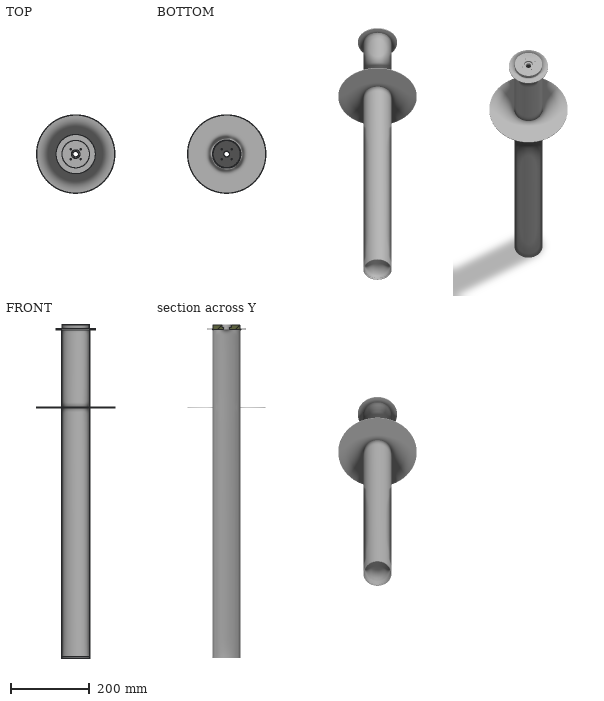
import cadquery as cq

TOTAL_HEIGHT = 850.0

TUBE_DIAMETER = 72.0
TUBE_BORE = 69.0

GROOVE_DIAMETER = 70.0
GROOVE_BOTTOM = 1.0
GROOVE_WIDTH = 4.0

CAP_DIAMETER = 70.0
CAP_RISE = 10.0

COLLAR_DIAMETER = 100.0
COLLAR_THICKNESS = 3.0
COLLAR_TOP = TOTAL_HEIGHT - CAP_RISE
COLLAR_BOTTOM = COLLAR_TOP - COLLAR_THICKNESS

DISC_DIAMETER = 200.0
DISC_THICKNESS = 2.0
DISC_DROP = 210.0
DISC_TOP = TOTAL_HEIGHT - DISC_DROP

CENTRE_HOLE_DIAMETER = 14.0
COUNTERBORE_DIAMETER = 22.0
COUNTERBORE_DEPTH = 6.0
SCREW_HOLE_DIAMETER = 2.53
SCREW_HOLE_SPACING = 25.4


def cylinder(diameter, bottom, top):
    """Upright cylinder on the Z axis between two heights."""
    return cq.Workplane("XY").workplane(offset=bottom).circle(diameter / 2).extrude(top - bottom)


def body():
    """Tube, collar, cap and disc as one hollow solid."""
    solid = cylinder(TUBE_DIAMETER, 0, COLLAR_BOTTOM)
    solid = solid.union(cylinder(COLLAR_DIAMETER, COLLAR_BOTTOM, COLLAR_TOP))
    solid = solid.union(cylinder(CAP_DIAMETER, COLLAR_TOP, TOTAL_HEIGHT))
    solid = solid.union(cylinder(DISC_DIAMETER, DISC_TOP - DISC_THICKNESS, DISC_TOP))
    return solid.cut(cylinder(TUBE_BORE, 0, COLLAR_BOTTOM))


def foot_groove():
    """Ring groove that widens the bore just above the foot."""
    return cylinder(GROOVE_DIAMETER, GROOVE_BOTTOM, GROOVE_BOTTOM + GROOVE_WIDTH)


def centre_hole():
    """Through hole in the cap with a counterbore in its top face."""
    hole = cylinder(CENTRE_HOLE_DIAMETER, COLLAR_BOTTOM, TOTAL_HEIGHT)
    counterbore_floor = TOTAL_HEIGHT - COUNTERBORE_DEPTH
    return hole.union(cylinder(COUNTERBORE_DIAMETER, counterbore_floor, TOTAL_HEIGHT))


def screw_holes():
    """Four holes through the cap at the corners of a square."""
    return (
        cq.Workplane("XY")
        .workplane(offset=COLLAR_BOTTOM)
        .rect(SCREW_HOLE_SPACING, SCREW_HOLE_SPACING, forConstruction=True)
        .vertices()
        .circle(SCREW_HOLE_DIAMETER / 2)
        .extrude(TOTAL_HEIGHT - COLLAR_BOTTOM)
    )


result = body().cut(foot_groove()).cut(centre_hole()).cut(screw_holes())